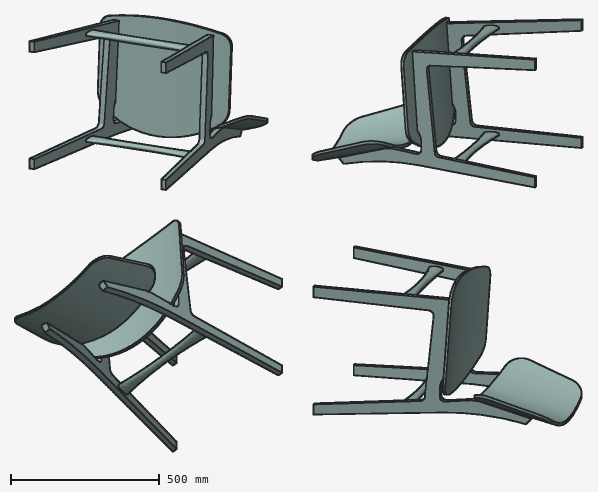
import cadquery as cq
import math


FOOT_OUTER_X = 262.5
FOOT_THICKNESS = 18.0
FRAME_TOP_Y = 775.0
FRAME_LEAN = 0.156
FRAME_GROWTH = 0.01

FRONT_FOOT_FRONT = (0, 238.0)
FRONT_FOOT_REAR = (0, 201.0)
FRONT_CROTCH = (404.0, 166.0)
REAR_CROTCH = (371.0, -148.0)
REAR_FOOT_FRONT = (0, -173.0)
REAR_FOOT_REAR = (0, -208.0)
BEND_START = (435.5, -187.0)
BEND_MIDDLE = (571.0, -192.0)
POST_TIP_REAR = (711.0, -218.5)
POST_TIP_FRONT = (729.0, -199.0)
POST_SHOULDER = (557.0, -144.0)
POST_KNEE = (530.0, -141.0)
POST_CORNER = (422.0, -150.0)
RELIEF_BOTTOM = (422.0, -112.5)
RELIEF_MIDDLE = (427.0, -81.0)
RELIEF_TOP = (438.0, -65.0)
RAIL_FRONT = (457.0, 207.0)
CROTCH_RADIUS = 18.0

PANEL_THICKNESS = 9.0

SEAT_RADIUS = 1019.0
SEAT_FRONT_Y = 448.5
SEAT_SLOPE = 0.07
SEAT_HALF_WIDTH = 252.0
SEAT_FRONT_Z = 241.0
SEAT_REAR_Z = -163.0
SEAT_FRONT_EDGE_RADIUS = 889.0
SEAT_REAR_EDGE_RADIUS = 424.0
SEAT_FRONT_CORNER = 45.0
SEAT_REAR_CORNER = 65.0

BACK_RADIUS = 439.0
BACK_TOP_Y = 815.0
BACK_BOTTOM_Y = 520.0
BACK_TOP_REAR_Z = -241.0
BACK_SLOPE = 0.24
BACK_TOP_HALF_WIDTH = 214.0
BACK_BOTTOM_HALF_WIDTH = 253.0
BACK_LOWER_CORNER_Y = 559.0
BACK_BOTTOM_EDGE_RADIUS_CORNER = 65.0
BACK_TOP_CORNER = 57.0

STRETCHER_END_Y = (275.0, 329.5)
STRETCHER_MIDDLE_Y = (290.0, 319.0)
FRONT_STRETCHER_Z = 209.0
REAR_STRETCHER_Z = -163.0
STRETCHER_END_DEPTH = 19.0
FRONT_STRETCHER_MIDDLE_DEPTH = 24.0
REAR_STRETCHER_MIDDLE_DEPTH = 20.0

REACH = 652.0


def outer_x(y):
    """Distance of a frame's outer face from the middle plane at height y."""
    return FOOT_OUTER_X - FRAME_LEAN * y


def inner_x(y):
    """Distance of a frame's inner face from the middle plane at height y."""
    return outer_x(y) - FOOT_THICKNESS - FRAME_GROWTH * y


def arc_rise(radius, half_width):
    """Rise of an arc between its middle and a point half_width to the side."""
    return radius - math.sqrt(radius**2 - half_width**2)


def round_corner(body, direction, point, radius):
    """Fillet the edge along the given direction whose middle lies nearest to the point."""
    nearest = cq.selectors.NearestToPointSelector(point)
    return body.edges(direction).edges(nearest).fillet(radius)


def shell(radius):
    """Cylindrical trough running along Z: its upper face passes through the origin and curves up."""
    return (
        cq.Workplane("XY")
        .center(0, radius)
        .circle(radius + PANEL_THICKNESS)
        .circle(radius)
        .extrude(2 * REACH, both=True)
    )


def make_seat():
    side_front_z = SEAT_FRONT_Z - arc_rise(SEAT_FRONT_EDGE_RADIUS, SEAT_HALF_WIDTH)
    side_rear_z = SEAT_REAR_Z + arc_rise(SEAT_REAR_EDGE_RADIUS, SEAT_HALF_WIDTH)
    outline = (
        cq.Workplane("XZ")
        .moveTo(-SEAT_HALF_WIDTH, side_rear_z)
        .lineTo(-SEAT_HALF_WIDTH, side_front_z)
        .threePointArc((0, SEAT_FRONT_Z), (SEAT_HALF_WIDTH, side_front_z))
        .lineTo(SEAT_HALF_WIDTH, side_rear_z)
        .threePointArc((0, SEAT_REAR_Z), (-SEAT_HALF_WIDTH, side_rear_z))
        .close()
        .extrude(-REACH)
    )
    for x in (-SEAT_HALF_WIDTH, SEAT_HALF_WIDTH):
        outline = round_corner(outline, "|Y", (x, REACH / 2, side_front_z), SEAT_FRONT_CORNER)
        outline = round_corner(outline, "|Y", (x, REACH / 2, side_rear_z), SEAT_REAR_CORNER)
    tilt = math.degrees(math.atan(SEAT_SLOPE))
    panel = (
        shell(SEAT_RADIUS)
        .rotate((0, 0, 0), (1, 0, 0), -tilt)
        .translate((0, SEAT_FRONT_Y, SEAT_FRONT_Z))
    )
    return panel.intersect(outline)


def make_backrest():
    lower_y = BACK_LOWER_CORNER_Y
    outline = (
        cq.Workplane("XY")
        .moveTo(-BACK_TOP_HALF_WIDTH, BACK_TOP_Y)
        .lineTo(BACK_TOP_HALF_WIDTH, BACK_TOP_Y)
        .lineTo(BACK_BOTTOM_HALF_WIDTH, lower_y)
        .threePointArc((0, BACK_BOTTOM_Y), (-BACK_BOTTOM_HALF_WIDTH, lower_y))
        .close()
        .extrude(REACH, both=True)
    )
    for side in (-1, 1):
        top_corner = (side * BACK_TOP_HALF_WIDTH, BACK_TOP_Y, 0)
        lower_corner = (side * BACK_BOTTOM_HALF_WIDTH, lower_y, 0)
        outline = round_corner(outline, "|Z", top_corner, BACK_TOP_CORNER)
        outline = round_corner(outline, "|Z", lower_corner, BACK_BOTTOM_EDGE_RADIUS_CORNER)
    lean = math.degrees(math.atan(BACK_SLOPE))
    panel = (
        shell(BACK_RADIUS)
        .translate((0, PANEL_THICKNESS, 0))
        .rotate((0, 0, 0), (1, 0, 0), 90 - lean)
        .translate((0, BACK_TOP_Y, BACK_TOP_REAR_Z))
    )
    rear_half = (
        cq.Workplane("XY")
        .box(2 * REACH, 2 * REACH, BACK_RADIUS)
        .translate((0, BACK_TOP_Y, -BACK_RADIUS / 2))
    )
    return panel.intersect(outline).intersect(rear_half)


def make_left_frame(seat, backrest):
    """Side frame without stretchers, hollowed where the seat and the backrest lie on it."""
    plank = (
        cq.Workplane("YZ")
        .moveTo(*FRONT_FOOT_FRONT)
        .lineTo(*FRONT_FOOT_REAR)
        .lineTo(*FRONT_CROTCH)
        .lineTo(*REAR_CROTCH)
        .lineTo(*REAR_FOOT_FRONT)
        .lineTo(*REAR_FOOT_REAR)
        .lineTo(*BEND_START)
        .threePointArc(BEND_MIDDLE, POST_TIP_REAR)
        .lineTo(*POST_TIP_FRONT)
        .lineTo(*POST_SHOULDER)
        .lineTo(*POST_KNEE)
        .lineTo(*POST_CORNER)
        .lineTo(*RELIEF_BOTTOM)
        .threePointArc(RELIEF_MIDDLE, RELIEF_TOP)
        .lineTo(*RAIL_FRONT)
        .close()
        .extrude(-REACH)
    )
    for y, z in (FRONT_CROTCH, REAR_CROTCH, POST_CORNER):
        plank = round_corner(plank, "|X", (-REACH / 2, y, z), CROTCH_RADIUS)
    leaning_slab = (
        cq.Workplane("XY")
        .polyline(
            [
                (-outer_x(0), 0),
                (-inner_x(0), 0),
                (-inner_x(FRAME_TOP_Y), FRAME_TOP_Y),
                (-outer_x(FRAME_TOP_Y), FRAME_TOP_Y),
            ]
        )
        .close()
        .extrude(REACH, both=True)
    )
    return plank.intersect(leaning_slab).cut(seat).cut(backrest)


def oval(x, y_range, front_z, depth):
    """Elliptical section of a stretcher in the plane at x."""
    low_y, high_y = y_range
    return cq.Wire.makeEllipse(
        (high_y - low_y) / 2,
        depth / 2,
        center=cq.Vector(x, (low_y + high_y) / 2, front_z - depth / 2),
        normal=cq.Vector(1, 0, 0),
        xDir=cq.Vector(0, -1, 0),
    )


def make_stretcher(front_z, middle_depth):
    """Bar between the inner faces of the two frames."""
    end_x = inner_x(STRETCHER_END_Y[0])
    bar = cq.Solid.makeLoft(
        [
            oval(-end_x, STRETCHER_END_Y, front_z, STRETCHER_END_DEPTH),
            oval(0, STRETCHER_MIDDLE_Y, front_z, middle_depth),
            oval(end_x, STRETCHER_END_Y, front_z, STRETCHER_END_DEPTH),
        ]
    )
    between_frames = (
        cq.Workplane("XY")
        .polyline(
            [
                (-inner_x(0), 0),
                (inner_x(0), 0),
                (inner_x(FRAME_TOP_Y), FRAME_TOP_Y),
                (-inner_x(FRAME_TOP_Y), FRAME_TOP_Y),
            ]
        )
        .close()
        .extrude(REACH, both=True)
    )
    return cq.Workplane(bar).intersect(between_frames)


seat = make_seat()
backrest = make_backrest()
side_frame = make_left_frame(seat, backrest)
right_frame = side_frame.mirror("YZ")
left_frame = side_frame.union(make_stretcher(FRONT_STRETCHER_Z, FRONT_STRETCHER_MIDDLE_DEPTH))
left_frame = left_frame.union(make_stretcher(REAR_STRETCHER_Z, REAR_STRETCHER_MIDDLE_DEPTH))

result = cq.Compound.makeCompound(
    [
        *seat.solids().vals(),
        *backrest.solids().vals(),
        *left_frame.solids().vals(),
        *right_frame.solids().vals(),
    ]
)